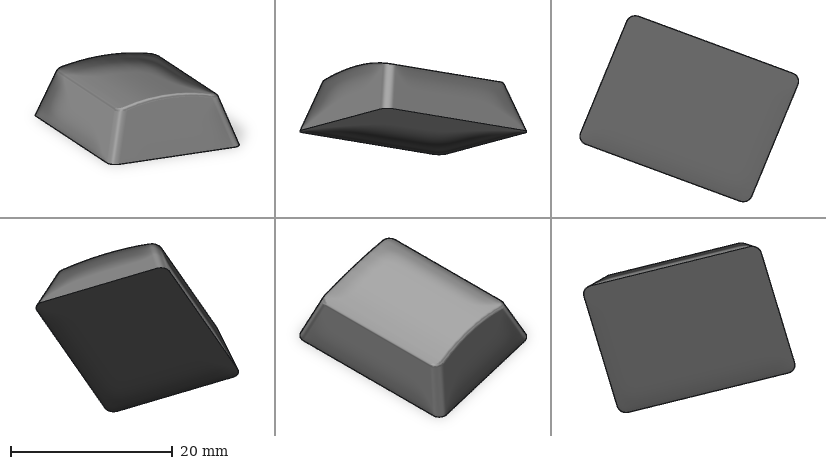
import cadquery as cq

length = 22.75
width = 18.0
height = 7.2

draft_angle = 18.1
dome_radius = 25.04
corner_radius = 1.25
rim_radius = 0.55

block = cq.Workplane("XY").rect(length, width).extrude(height, taper=draft_angle)

block = block.edges("not(|X or |Y)").fillet(corner_radius)

dome = (
    cq.Workplane("YZ")
    .center(0, height - dome_radius)
    .circle(dome_radius)
    .extrude(length / 2, both=True)
)
crowned = block.intersect(dome)

result = crowned.faces(">Z").edges().fillet(rim_radius)